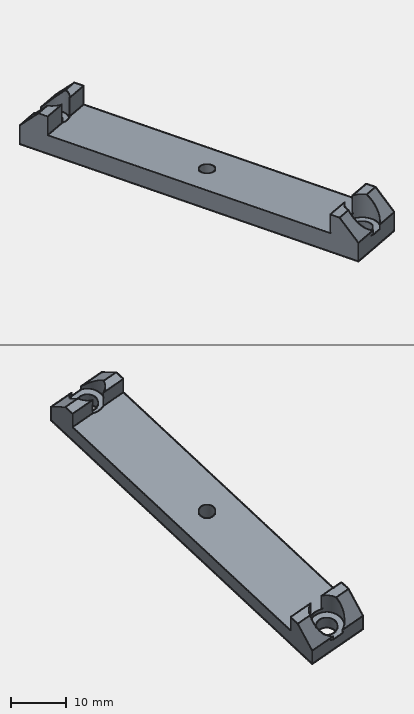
import cadquery as cq

length = 72.0
width = 12.0
height = 8.0
base_thickness = height / 2

hook_length = 6.0
slope_run = height - base_thickness

screw_inset = 3.0
screw_hole_diameter = 3.9
counterbore_diameter = 6.4
counterbore_floor = 3.0

center_hole_diameter = 3.0

half_length = length / 2
hook_face = half_length - hook_length
hook_top_edge = half_length - slope_run


def make_body():
    """Side profile of the bar and its two hooks, extruded across the width."""
    right_half = [
        (half_length, 0),
        (half_length, base_thickness),
        (hook_top_edge, height),
        (hook_face, height),
        (hook_face, base_thickness),
    ]
    left_half = [(-x, z) for x, z in reversed(right_half)]
    return cq.Workplane("XZ").polyline(right_half + left_half).close().extrude(width / 2, both=True)


def vertical_cut(x, diameter, floor=0.0):
    """Cylinder on the bar's centre line, from the floor up to the hook tops."""
    return cq.Workplane("XY", origin=(x, 0, floor)).circle(diameter / 2).extrude(height - floor)


result = make_body().cut(vertical_cut(0, center_hole_diameter))

for side in (-1, 1):
    screw_x = side * (half_length - screw_inset)
    result = result.cut(vertical_cut(screw_x, screw_hole_diameter))
    result = result.cut(vertical_cut(screw_x, counterbore_diameter, counterbore_floor))